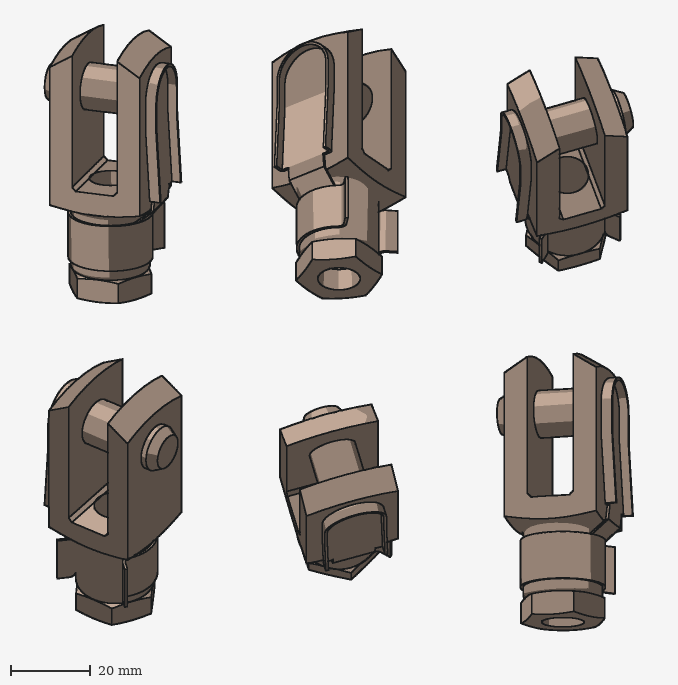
import cadquery as cq
import math


nut_height = 6.0
nut_across_flats = 19.0
nut_across_corners = nut_across_flats / math.cos(math.radians(30))
nut_chamfer_angle = 15.0
thread_bore_diameter = 10.65

fork_width = 24.0
fork_bottom_z = nut_height
fork_top_z = 68.0
slot_width = 12.0
slot_floor_z = fork_bottom_z + 24.0
slot_corner_chamfer = 1.0
shank_diameter = 20.0
shank_end_fillet = 1.0
shoulder_z = 24.0
shoulder_fillet = 1.5
shoulder_cone_angle = 15.0
crown_radius = 42.0
crown_slope_angle = 31.0

pin_diameter = 12.0
pin_z = fork_bottom_z + 48.0
pin_tip_x = -16.0
pin_tip_diameter = 9.1
pin_tip_angle = 30.0

sheet = 0.7
channel_width = 16.2
channel_depth = 3.0
channel_bend_radius = 0.8
channel_web_x = fork_width / 2
arm_bend_z = pin_z - 7.0
arm_end_z = 28.2
arm_lean = 1.09
strap_width = 11.0
strap_kink_x = 12.7
strap_kink_z = 24.6
ring_bottom_z = 9.0
ring_height = 12.0
ring_inner_radius = shank_diameter / 2
ring_outer_radius = ring_inner_radius + sheet
lip_angle = 135.0
lip_bend_radius = 1.5
lip_tip_radius = 14.9


def polar(radius, angle, center=(0.0, 0.0)):
    """Point at a radius and an angle in degrees around a center."""
    turn = math.radians(angle)
    return (center[0] + radius * math.cos(turn), center[1] + radius * math.sin(turn))


def make_nut():
    """Hexagon nut with corners on the X axis and both ends turned to a shallow cone."""
    corner_radius = nut_across_corners / 2
    face_radius = nut_across_flats / 2
    drop = (corner_radius - face_radius) * math.tan(math.radians(nut_chamfer_angle))
    hexagon = cq.Workplane("XY").polygon(6, nut_across_corners).extrude(nut_height)
    turned_blank = (
        cq.Workplane("XZ")
        .polyline(
            [
                (0, 0),
                (face_radius, 0),
                (corner_radius, drop),
                (corner_radius, nut_height - drop),
                (face_radius, nut_height),
                (0, nut_height),
            ]
        )
        .close()
        .revolve(360, (0, 0, 0), (0, 1, 0))
    )
    bore = cq.Workplane("XY").circle(thread_bore_diameter / 2).extrude(nut_height)
    return hexagon.intersect(turned_blank).cut(bore)


def make_turned_envelope():
    """Shank, shoulder fillet and shoulder cone, turned around Z up to the top of the fork."""
    shank_radius = shank_diameter / 2
    cone_start = shank_radius + shoulder_fillet
    blank_radius = fork_width / math.sqrt(2) + 1.0
    cone_rise = (blank_radius - cone_start) * math.tan(math.radians(shoulder_cone_angle))
    fillet_middle = polar(shoulder_fillet, 135, (cone_start, shoulder_z - shoulder_fillet))
    end_middle = polar(
        shank_end_fillet, -45, (shank_radius - shank_end_fillet, fork_bottom_z + shank_end_fillet)
    )
    return (
        cq.Workplane("XZ")
        .moveTo(0, fork_bottom_z)
        .lineTo(shank_radius - shank_end_fillet, fork_bottom_z)
        .threePointArc(end_middle, (shank_radius, fork_bottom_z + shank_end_fillet))
        .lineTo(shank_radius, shoulder_z - shoulder_fillet)
        .threePointArc(fillet_middle, (cone_start, shoulder_z))
        .lineTo(blank_radius, shoulder_z + cone_rise)
        .lineTo(blank_radius, fork_top_z)
        .lineTo(0, fork_top_z)
        .close()
        .revolve(360, (0, 0, 0), (0, 1, 0))
    )


def make_crown_envelope():
    """Body turned around a line parallel to X, whose cones slope the tops of both fork arms."""
    axis_z = fork_top_z - crown_radius
    half_slot = slot_width / 2
    half_width = fork_width / 2
    edge_drop = (half_width - half_slot) * math.tan(math.radians(crown_slope_angle))
    return (
        cq.Workplane("XZ")
        .polyline(
            [
                (-half_width, axis_z),
                (-half_width, fork_top_z - edge_drop),
                (-half_slot, fork_top_z),
                (half_slot, fork_top_z),
                (half_width, fork_top_z - edge_drop),
                (half_width, axis_z),
            ]
        )
        .close()
        .revolve(360, (0, axis_z, 0), (1, axis_z, 0))
    )


def make_fork():
    """Square fork with a turned shank, a slot, a thread bore and a cross hole for the pin."""
    height = fork_top_z - fork_bottom_z
    fork = (
        cq.Workplane("XY", origin=(0, 0, fork_bottom_z))
        .rect(fork_width, fork_width)
        .extrude(height)
        .intersect(make_turned_envelope())
        .intersect(make_crown_envelope())
    )
    slot = (
        cq.Workplane("XY", origin=(0, 0, slot_floor_z))
        .rect(slot_width, fork_width)
        .extrude(height)
        .faces("<Z")
        .edges("|Y")
        .chamfer(slot_corner_chamfer)
    )
    bore = (
        cq.Workplane("XY", origin=(0, 0, fork_bottom_z))
        .circle(thread_bore_diameter / 2)
        .extrude(slot_floor_z - fork_bottom_z)
    )
    pin_hole = (
        cq.Workplane("YZ", origin=(-fork_width / 2, 0, pin_z))
        .circle(pin_diameter / 2)
        .extrude(fork_width)
    )
    return fork.cut(slot).cut(bore).cut(pin_hole)


def make_pin():
    """Pin with a conical tip at -X that reaches the web of the clip at +X."""
    radius = pin_diameter / 2
    tip_radius = pin_tip_diameter / 2
    tip_length = (radius - tip_radius) / math.tan(math.radians(pin_tip_angle))
    return (
        cq.Workplane("XZ", origin=(0, 0, pin_z))
        .polyline(
            [
                (pin_tip_x, 0),
                (pin_tip_x, tip_radius),
                (pin_tip_x + tip_length, radius),
                (channel_web_x, radius),
                (channel_web_x, 0),
            ]
        )
        .close()
        .revolve(360, (0, 0, 0), (1, 0, 0))
    )


def make_channel_block(inset):
    """Solid channel shape moved inwards by an inset from the web, the walls and the round head."""
    half_width = channel_width / 2 - inset
    web_x = channel_web_x + inset
    open_x = channel_web_x + channel_depth
    head = (
        cq.Workplane("YZ", origin=(web_x, 0, pin_z))
        .circle(half_width)
        .extrude(open_x - web_x)
    )
    arm = (
        cq.Workplane("XZ", origin=(0, half_width, 0))
        .polyline(
            [
                (web_x, pin_z),
                (open_x, pin_z),
                (open_x, arm_bend_z),
                (open_x + arm_lean, arm_end_z),
                (web_x + arm_lean, arm_end_z),
                (web_x, arm_bend_z),
            ]
        )
        .close()
        .extrude(2 * half_width)
    )
    lower_head = (
        cq.Workplane("XY", origin=(0, 0, pin_z))
        .rect(4 * channel_width, channel_width)
        .extrude(-channel_width)
    )
    return head.cut(lower_head).union(arm)


def make_clip_ring():
    """Ring open towards +Y, with both ends bent outwards into straight lips."""
    bend_center_radius = ring_outer_radius + lip_bend_radius
    bend_offset = sheet / 2 + lip_bend_radius
    inner_bend_radius = sheet + lip_bend_radius
    bend_turn = math.degrees(math.asin(bend_offset / bend_center_radius))
    ring_end_angle = lip_angle + bend_turn
    bend_center = polar(bend_center_radius, ring_end_angle)
    lip_start = math.sqrt(bend_center_radius**2 - bend_offset**2)

    def lip_point(along, offset):
        return polar(offset, lip_angle + 90, polar(along, lip_angle))

    def mirrored(point):
        return (-point[0], point[1])

    bend_middle_angle = (ring_end_angle + 180 + lip_angle - 90 + 360) / 2
    outer_end = polar(ring_outer_radius, ring_end_angle)
    outer_bend = polar(lip_bend_radius, bend_middle_angle, bend_center)
    outer_lip = lip_point(lip_start, sheet / 2)
    outer_tip = lip_point(lip_tip_radius, sheet / 2)
    inner_tip = lip_point(lip_tip_radius, -sheet / 2)
    inner_lip = lip_point(lip_start, -sheet / 2)
    inner_bend = polar(inner_bend_radius, bend_middle_angle, bend_center)
    inner_end = polar(ring_inner_radius, ring_end_angle)
    return (
        cq.Workplane("XY", origin=(0, 0, ring_bottom_z))
        .moveTo(*mirrored(outer_end))
        .threePointArc((0, -ring_outer_radius), outer_end)
        .threePointArc(outer_bend, outer_lip)
        .lineTo(*outer_tip)
        .lineTo(*inner_tip)
        .lineTo(*inner_lip)
        .threePointArc(inner_bend, inner_end)
        .threePointArc((0, -ring_inner_radius), mirrored(inner_end))
        .threePointArc(mirrored(inner_bend), mirrored(inner_lip))
        .lineTo(*mirrored(inner_tip))
        .lineTo(*mirrored(outer_tip))
        .lineTo(*mirrored(outer_lip))
        .threePointArc(mirrored(outer_bend), mirrored(outer_end))
        .close()
        .extrude(ring_height)
    )


def strap_section(x, z):
    """Flat cross-section of the strap whose inner face is at the given place."""
    half = strap_width / 2
    return cq.Wire.makePolygon(
        [
            cq.Vector(x, -half, z),
            cq.Vector(x + sheet, -half, z),
            cq.Vector(x + sheet, half, z),
            cq.Vector(x, half, z),
        ],
        close=True,
    )


def strap_foot():
    """Curved cross-section of the strap on the top edge of the ring."""
    half = strap_width / 2
    z = ring_bottom_z + ring_height
    inner_x = math.sqrt(ring_inner_radius**2 - half**2)
    outer_x = math.sqrt(ring_outer_radius**2 - half**2)
    corners = [
        cq.Vector(inner_x, -half, z),
        cq.Vector(outer_x, -half, z),
        cq.Vector(outer_x, half, z),
        cq.Vector(inner_x, half, z),
    ]
    return cq.Wire.assembleEdges(
        [
            cq.Edge.makeLine(corners[0], corners[1]),
            cq.Edge.makeThreePointArc(corners[1], cq.Vector(ring_outer_radius, 0, z), corners[2]),
            cq.Edge.makeLine(corners[2], corners[3]),
            cq.Edge.makeThreePointArc(corners[3], cq.Vector(ring_inner_radius, 0, z), corners[0]),
        ]
    )


def make_strap():
    """Strap from the web of the channel down to a kink and on to the ring."""
    kink = strap_section(strap_kink_x, strap_kink_z)
    top = strap_section(channel_web_x + arm_lean, arm_end_z)
    lower = cq.Solid.makeLoft([strap_foot(), kink], True)
    upper = cq.Solid.makeLoft([kink, top], True)
    return cq.Workplane(lower).union(cq.Workplane(upper))


def make_channel():
    """Channel open towards +X with a rounded bend between its web and its walls."""
    web_outline = cq.selectors.BoxSelector(
        (channel_web_x - 0.1, -channel_width, arm_end_z + 0.1),
        (channel_web_x + arm_lean, channel_width, fork_top_z),
    )
    outer = make_channel_block(0).edges(web_outline).edges("not(|Y)").fillet(channel_bend_radius)
    return outer.cut(make_channel_block(sheet))


def make_pin_clip():
    """Spring clip with the pin fixed to its web."""
    return make_channel().union(make_pin()).union(make_strap()).union(make_clip_ring())


nut = make_nut()
fork = make_fork()
pin_clip = make_pin_clip()

result = cq.Compound.makeCompound([nut.val(), fork.val(), pin_clip.val()])